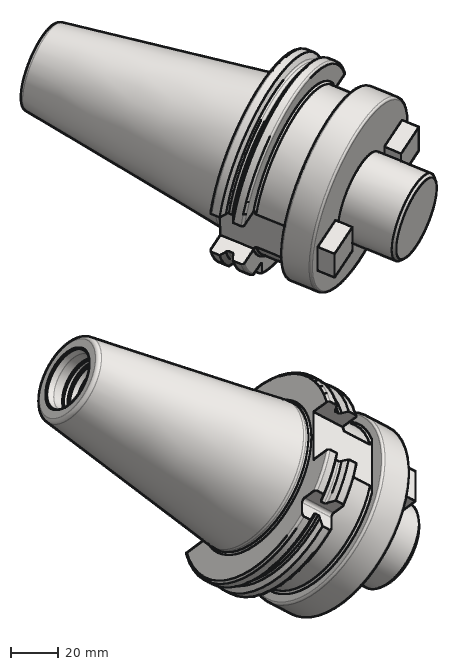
import cadquery as cq
import math

total_length = 178.6
gauge_plane = 101.6
flange_start = 104.5
flange_width = 16.0
flange_end = flange_start + flange_width
disc_start = 136.8
pilot_length = 27.0
disc_end = total_length - pilot_length

gauge_diameter = 69.8
flange_diameter = 97.3
neck_diameter = 77.5
disc_diameter = 89.0
pilot_diameter = 40.0

taper_ratio = 7 / 24
tip_diameter = gauge_diameter - taper_ratio * gauge_plane

tip_round = 2.0
collar_blend = 9.0
collar_round = 0.9
flange_round = 1.0
neck_round = 1.0
disc_round = 1.0
pilot_chamfer = 1.5

groove_mouth = 6.5
groove_depth = 3.5
groove_wall_depth = 2.7
groove_wall_angle = 30

bore_mouth_diameter = 29.0
bore_mouth_chamfer = 0.5
bore_steps = [
    (27.9, 0.9, 2.7),
    (26.5, 8.2, 0.5),
    (25.4, 10.7, 0.5),
    (24.3, 11.6, 2.5),
]
drill_diameter = 21.5
drill_depth = 46.5
drill_tip_angle = 120

slot_height = 25.7
slot_floor_front = 37.1
slot_floor_back = 35.4

notch_wall = 29.8
notch_round = 1.6

key_width = 16.0
key_height = 8.0
key_inner = 22.3
key_outer = 38.5

diagonal = math.sqrt(0.5)


def cylinder(start, end, diameter):
    """Solid cylinder along X between two stations."""
    return cq.Workplane("YZ").workplane(offset=start).circle(diameter / 2).extrude(end - start)


def revolve_about_x(profile):
    """Full turn of an XY profile, with Y as the radius."""
    return profile.close().revolve(360, (0, 0, 0), (1, 0, 0))


def taper_and_collar():
    """Taper blended into the short straight collar that meets the flange."""
    collar_radius = gauge_diameter / 2
    turned = revolve_about_x(
        cq.Workplane("XY")
        .lineTo(0, tip_diameter / 2)
        .lineTo(gauge_plane, collar_radius)
        .lineTo(flange_start, collar_radius)
        .lineTo(flange_start, 0)
    )
    turned = turned.edges(cq.selectors.NearestToPointSelector((gauge_plane, 0, 0))).fillet(collar_blend)
    return turned.faces("<X").edges().fillet(tip_round)


def root_round(face, direction, diameter, radius):
    """Concave round where a cylinder meets a larger shoulder at the given station."""
    shaft_radius = diameter / 2
    far = face + direction * radius
    arc_offset = radius * (1 - diagonal)
    return revolve_about_x(
        cq.Workplane("XY")
        .moveTo(face, 0)
        .lineTo(face, shaft_radius + radius)
        .threePointArc((face + direction * arc_offset, shaft_radius + arc_offset), (far, shaft_radius))
        .lineTo(far, 0)
    )


def gripper_groove():
    centre = (flange_start + flange_end) / 2
    outer = flange_diameter / 2
    floor = outer - groove_depth
    wall_foot = outer - groove_wall_depth
    corner = wall_foot - floor
    half_mouth = groove_mouth / 2
    half_foot = half_mouth - groove_wall_depth * math.tan(math.radians(groove_wall_angle))
    half_floor = half_foot - corner
    arc_across = half_floor + corner * diagonal
    arc_up = wall_foot - corner * diagonal
    return revolve_about_x(
        cq.Workplane("XY")
        .moveTo(centre - half_mouth, outer)
        .lineTo(centre - half_foot, wall_foot)
        .threePointArc((centre - arc_across, arc_up), (centre - half_floor, floor))
        .lineTo(centre + half_floor, floor)
        .threePointArc((centre + arc_across, arc_up), (centre + half_foot, wall_foot))
        .lineTo(centre + half_mouth, outer)
    )


def flange():
    blank = cylinder(flange_start, flange_end, flange_diameter)
    return blank.edges().fillet(flange_round).cut(gripper_groove())


def disc():
    return cylinder(disc_start, disc_end, disc_diameter).edges().fillet(disc_round)


def pilot():
    return cylinder(disc_end, total_length, pilot_diameter).faces(">X").edges().chamfer(pilot_chamfer)


def drive_slot(side, floor):
    """Slot through the flange, on the side given by the sign of Y, and a flat on the neck level with it."""
    depth = flange_diameter / 2 - floor
    neck_length = disc_start - flange_end
    centre_y = side * (floor + depth / 2)
    slot = cq.Workplane("XY").box(flange_width, depth, slot_height)
    slot = slot.translate((flange_start + flange_width / 2, centre_y, 0))
    flat = cq.Workplane("XY").box(neck_length, depth, flange_diameter)
    flat = flat.translate((flange_end + neck_length / 2, centre_y, 0))
    return slot.union(flat)


def orientation_notch():
    size = flange_diameter / 2
    block = cq.Workplane("XY").box(flange_width, size, size, centered=(False, True, True))
    block = block.edges("|X and >Y and >Z").fillet(notch_round)
    shift = -(notch_wall + size / 2)
    return block.translate((flange_start, shift, shift))


def drive_key(side):
    length = key_outer - key_inner
    middle = (key_inner + key_outer) / 2
    return cq.Workplane("XY").box(key_height, length, key_width).translate(
        (disc_end + key_height / 2, side * middle, 0)
    )


def drawbar_bore():
    drill_radius = drill_diameter / 2
    tip_length = drill_radius / math.tan(math.radians(drill_tip_angle / 2))
    profile = cq.Workplane("XY").lineTo(0, bore_mouth_diameter / 2)
    start = bore_mouth_chamfer
    for diameter, end, cone_length in bore_steps:
        profile = profile.lineTo(start, diameter / 2).lineTo(end, diameter / 2)
        start = end + cone_length
    profile = profile.lineTo(start, drill_radius).lineTo(drill_depth, drill_radius)
    return revolve_about_x(profile.lineTo(drill_depth + tip_length, 0))


body = (
    taper_and_collar()
    .union(root_round(flange_start, -1, gauge_diameter, collar_round))
    .union(flange())
    .union(cylinder(flange_end, disc_start, neck_diameter))
    .union(root_round(flange_end, 1, neck_diameter, neck_round))
    .union(root_round(disc_start, -1, neck_diameter, neck_round))
    .union(disc())
    .union(pilot())
)

body = body.cut(drive_slot(-1, slot_floor_front)).cut(drive_slot(1, slot_floor_back))
body = body.cut(orientation_notch()).cut(drawbar_bore())

for key_side in (-1, 1):
    body = body.union(drive_key(key_side))

result = body